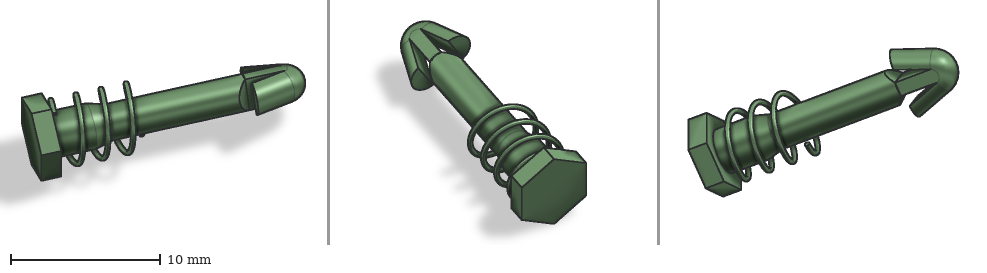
import cadquery as cq
import math

length = 19.0

head_width = 5.0
head_thickness = 1.39
collar_diameter = 3.15
collar_length = 2.74
taper_length = 1.25
shaft_diameter = 2.5
shaft_end = 14.9
bevel_drop = 0.72

tip_turn = 30.0
web_thickness = 1.0
barb_bottom = 15.16
barb_tilt = 19.0
bend_radius = 0.55
barb_depth = 1.06

wire_diameter = 0.35
spring_outer_diameter = 4.9
spring_pitch = 1.75
spring_turns = 3.5
wire_clearance = 0.02

head_corner_diameter = head_width / math.cos(math.radians(30))
shaft_radius = shaft_diameter / 2
collar_radius = collar_diameter / 2
collar_end = head_thickness + collar_length
taper_end = collar_end + taper_length
web_half_width = math.sqrt(shaft_radius**2 - (web_thickness / 2) ** 2)
bend_center = length - bend_radius - barb_depth
barb_reach = 2 * (bend_center - barb_bottom)


def plane_at(y):
    """Plane across the plunger axis: local x is X, local y is Z, extrusion runs toward -Y."""
    return cq.Workplane(cq.Plane(origin=(0, y, 0), xDir=(1, 0, 0), normal=(0, -1, 0)))


def make_head():
    return (
        plane_at(head_thickness)
        .polygon(6, head_corner_diameter)
        .extrude(head_thickness)
        .rotate((0, 0, 0), (0, 1, 0), 90)
    )


def make_stem():
    return (
        cq.Workplane("XY")
        .moveTo(0, head_thickness)
        .lineTo(collar_radius, head_thickness)
        .lineTo(collar_radius, collar_end)
        .lineTo(shaft_radius, taper_end)
        .lineTo(shaft_radius, shaft_end)
        .lineTo(0, shaft_end)
        .close()
        .revolve(360, (0, 0, 0), (0, 1, 0))
    )


def make_bevel_cutter():
    """Wedge that slopes from one side of the web out to the shaft surface."""
    return (
        cq.Workplane("XY")
        .moveTo(web_thickness / 2, shaft_end)
        .lineTo(shaft_radius, shaft_end - bevel_drop)
        .lineTo(shaft_radius, shaft_end)
        .close()
        .extrude(shaft_radius, both=True)
    )


def make_web():
    """Flat bar from the shaft end into the bend, where its end is rounded to fit."""
    bar_length = bend_center + bend_radius - shaft_end
    bar = (
        plane_at(bend_center + bend_radius)
        .rect(web_thickness, 2 * web_half_width)
        .extrude(bar_length)
    )
    rounding = (
        cq.Workplane("XY")
        .center(0, bend_center)
        .circle(bend_radius)
        .extrude(web_half_width, both=True)
    )
    lower_bar = (
        plane_at(bend_center)
        .rect(web_thickness, 2 * web_half_width)
        .extrude(bend_center - shaft_end)
    )
    return bar.intersect(rounding).union(lower_bar)


def barb_section():
    """D-shaped section with its flat side toward the plunger axis."""
    return (
        plane_at(bend_center)
        .moveTo(bend_radius, -web_half_width)
        .threePointArc((bend_radius + barb_depth, 0), (bend_radius, web_half_width))
        .close()
    )


def tilt_about_bend(shape, angle):
    return shape.rotate((0, bend_center, 0), (0, bend_center, 1), angle)


def make_barbs():
    """One D-section strip bent over the tip, with two straight legs cut square at the bottom."""
    bend_angle = 180 - 2 * barb_tilt
    bend = barb_section().revolve(bend_angle, (0, 0, 0), (0, 1, 0))
    leg = tilt_about_bend(barb_section().extrude(barb_reach), barb_tilt)
    strip = tilt_about_bend(bend, barb_tilt).union(leg).union(leg.mirror("YZ"))
    trim = plane_at(barb_bottom).rect(length, length).extrude(length)
    return strip.cut(trim)


def make_plunger():
    bevel = make_bevel_cutter()
    tip_turned_parts = make_web().union(make_barbs()).rotate((0, 0, 0), (0, 1, 0), -tip_turn)
    stem = make_stem()
    for cutter in (bevel, bevel.mirror("YZ")):
        stem = stem.cut(cutter.rotate((0, 0, 0), (0, 1, 0), -tip_turn))
    return make_head().union(stem).union(tip_turned_parts)


def make_spring():
    """Left-handed coil that starts at +Z on the head and winds toward +Y."""
    coil_radius = (spring_outer_diameter - wire_diameter) / 2
    helix = cq.Wire.makeHelix(spring_pitch, spring_pitch * spring_turns, coil_radius, lefthand=True)
    rise = spring_pitch / (2 * math.pi * coil_radius)
    start = cq.Plane(origin=(coil_radius, 0, 0), xDir=(1, 0, 0), normal=(0, -1, rise))
    coil = cq.Workplane(start).circle(wire_diameter / 2).sweep(helix, isFrenet=True)
    seat = head_thickness + wire_diameter / 2 + wire_clearance
    seat_plane = cq.Plane(origin=(0, seat, 0), xDir=(0, 0, 1), normal=(0, 1, 0))
    return coil.val().moved(seat_plane.location)


plunger = make_plunger()
spring = make_spring()
result = cq.Compound.makeCompound([plunger.val(), spring])